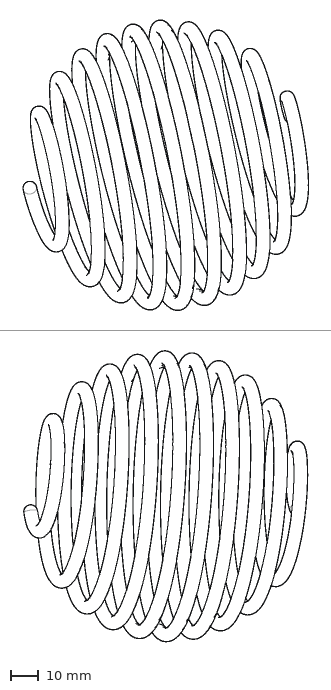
import cadquery as cq
import math

sphere_radius = 50.0
wire_radius = 2.5
end_offset = 49.0
start_angle = 220.0
end_angle = 181.0
nominal_turns = 10
turns = nominal_turns + (end_angle - start_angle) / 360
points_per_turn = 24


def coil_point(fraction):
    """Wire centre at a fraction of the way along the coil, from -Y to +Y."""
    y = end_offset * (2 * fraction - 1)
    radius = math.sqrt(sphere_radius**2 - y**2)
    angle = math.radians(start_angle + 360 * turns * fraction)
    return cq.Vector(radius * math.cos(angle), y, radius * math.sin(angle))


def coil_path():
    """Smooth curve through evenly spaced points of the coil."""
    steps = round(turns * points_per_turn)
    points = [coil_point(i / steps) for i in range(steps + 1)]
    return cq.Edge.makeSpline(points)


def sweep_wire(path):
    """Round wire following the path."""
    start_plane = cq.Plane(origin=path.startPoint(), normal=path.tangentAt(0))
    section = cq.Workplane(start_plane).circle(wire_radius)
    return section.sweep(cq.Workplane(path), isFrenet=True)


def round_end(centre):
    """Ball at a wire end, leaving a hemispherical tip."""
    return cq.Workplane("XY").sphere(wire_radius).translate(centre)


coil = coil_path()
result = sweep_wire(coil)
for wire_end in (coil.startPoint(), coil.endPoint()):
    result = result.union(round_end(wire_end))